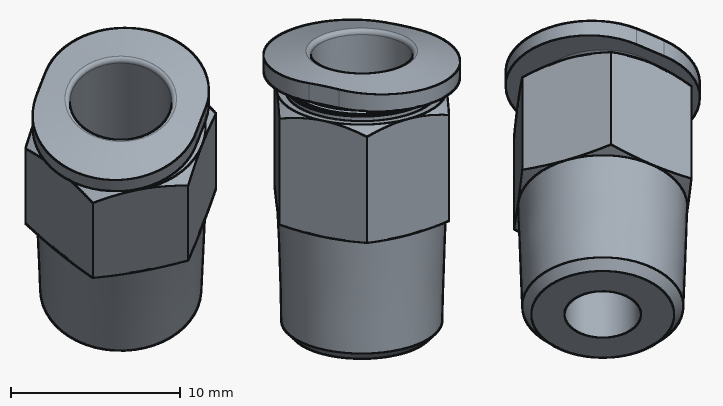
import cadquery as cq
import math

TOTAL_HEIGHT = 18.0
THREAD_CHAMFER_HEIGHT = 0.6
HEX_BOTTOM = 8.0
HEX_TOP = 15.5
RING_STEP = 15.79
RING_TOP = 16.02
BUTTON_BOTTOM = 16.5

THREAD_TOP_RADIUS = 4.99
THREAD_TAPER = 1 / 32
THREAD_TIP_RADIUS = 4.21

HEX_ACROSS_FLATS = 10.0
HEX_TOP_CHAMFER_ANGLE = 30.0
HEX_BOTTOM_CHAMFER_ANGLE = 15.0

RING_RADIUS = 4.5
RING_UPPER_RADIUS = 4.3
RING_CHAMFER = 0.15
NECK_RADIUS = 7.4 / 2
NECK_FILLET = 0.38

BUTTON_LENGTH = 11.8
BUTTON_WIDTH = 9.83
BUTTON_CONE_DROP = 0.47

PASSAGE_RADIUS = 2.25
SOCKET_RADIUS = 6.0 / 2
SOCKET_DEPTH = 9.0
SOCKET_LIP = 0.29

hex_flat_radius = HEX_ACROSS_FLATS / 2
hex_corner_radius = hex_flat_radius / math.cos(math.radians(30))
neck_height = BUTTON_BOTTOM - RING_TOP


def revolve_profile(points):
    """Revolve a closed outline of (radius, height) points around Z."""
    return cq.Workplane("XZ").polyline(points).close().revolve(360, (0, 0), (0, 1))


def make_thread():
    thread_length = HEX_BOTTOM - THREAD_CHAMFER_HEIGHT
    thread_bottom_radius = THREAD_TOP_RADIUS - thread_length * THREAD_TAPER
    return revolve_profile([
        (0, 0),
        (THREAD_TIP_RADIUS, 0),
        (thread_bottom_radius, THREAD_CHAMFER_HEIGHT),
        (THREAD_TOP_RADIUS, HEX_BOTTOM),
        (0, HEX_BOTTOM),
    ])


def make_hexagon():
    """Hexagonal prism with its corners turned off by a cone at each end."""
    prism = (
        cq.Workplane("XY", origin=(0, 0, HEX_BOTTOM))
        .polygon(6, 2 * hex_corner_radius)
        .extrude(HEX_TOP - HEX_BOTTOM)
        .rotate((0, 0, 0), (0, 0, 1), 30)
    )
    corner_overhang = hex_corner_radius - hex_flat_radius
    envelope_reach = 2 * corner_overhang
    envelope_radius = hex_flat_radius + envelope_reach
    top_drop = envelope_reach * math.tan(math.radians(HEX_TOP_CHAMFER_ANGLE))
    bottom_rise = envelope_reach * math.tan(math.radians(HEX_BOTTOM_CHAMFER_ANGLE))
    envelope = revolve_profile([
        (0, HEX_BOTTOM),
        (hex_flat_radius, HEX_BOTTOM),
        (envelope_radius, HEX_BOTTOM + bottom_rise),
        (envelope_radius, HEX_TOP - top_drop),
        (hex_flat_radius, HEX_TOP),
        (0, HEX_TOP),
    ])
    return prism.intersect(envelope)


def make_ring_and_neck():
    """Stepped ring, then a neck with a concave fillet under the button."""
    ring = revolve_profile([
        (0, HEX_TOP),
        (RING_RADIUS, HEX_TOP),
        (RING_RADIUS, RING_STEP),
        (RING_UPPER_RADIUS, RING_STEP),
        (RING_UPPER_RADIUS, RING_TOP - RING_CHAMFER),
        (RING_UPPER_RADIUS - RING_CHAMFER, RING_TOP),
        (0, RING_TOP),
    ])
    fillet_middle_offset = NECK_FILLET * (1 - math.sqrt(0.5))
    neck = (
        cq.Workplane("XZ", origin=(0, 0, RING_TOP))
        .lineTo(NECK_RADIUS, 0)
        .lineTo(NECK_RADIUS, neck_height - NECK_FILLET)
        .threePointArc(
            (NECK_RADIUS + fillet_middle_offset, neck_height - fillet_middle_offset),
            (NECK_RADIUS + NECK_FILLET, neck_height),
        )
        .lineTo(0, neck_height)
        .close()
        .revolve(360, (0, 0), (0, 1))
    )
    return ring.union(neck)


def make_button():
    oblong = (
        cq.Workplane("XY", origin=(0, 0, BUTTON_BOTTOM))
        .slot2D(BUTTON_LENGTH, BUTTON_WIDTH, 90)
        .extrude(TOTAL_HEIGHT - BUTTON_BOTTOM)
    )
    cone = revolve_profile([
        (0, BUTTON_BOTTOM),
        (BUTTON_LENGTH / 2, BUTTON_BOTTOM),
        (BUTTON_LENGTH / 2, TOTAL_HEIGHT - BUTTON_CONE_DROP),
        (SOCKET_RADIUS + SOCKET_LIP, TOTAL_HEIGHT),
        (0, TOTAL_HEIGHT),
    ])
    return oblong.intersect(cone)


def make_bore():
    """Through passage and tube socket, whose mouth has a rounded lip."""
    socket_floor = TOTAL_HEIGHT - SOCKET_DEPTH
    lip_bottom = TOTAL_HEIGHT - SOCKET_LIP
    lip_middle_offset = SOCKET_LIP * (1 - math.sqrt(0.5))
    return (
        cq.Workplane("XZ")
        .lineTo(PASSAGE_RADIUS, 0)
        .lineTo(PASSAGE_RADIUS, socket_floor)
        .lineTo(SOCKET_RADIUS, socket_floor)
        .lineTo(SOCKET_RADIUS, lip_bottom)
        .threePointArc(
            (SOCKET_RADIUS + lip_middle_offset, TOTAL_HEIGHT - lip_middle_offset),
            (SOCKET_RADIUS + SOCKET_LIP, TOTAL_HEIGHT),
        )
        .lineTo(0, TOTAL_HEIGHT)
        .close()
        .revolve(360, (0, 0), (0, 1))
    )


result = (
    make_thread()
    .union(make_hexagon())
    .union(make_ring_and_neck())
    .union(make_button())
    .cut(make_bore())
)